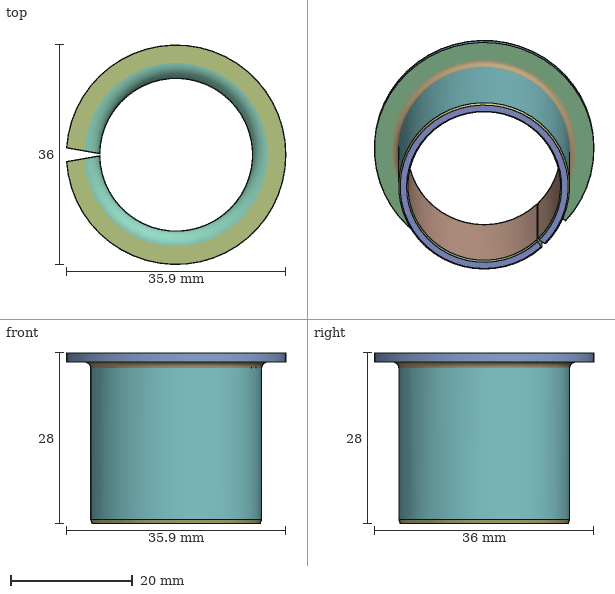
import cadquery as cq
import math

flange_diameter = 35.98
bore_diameter = 25.0
height = 28.0
wall = 1.5
outer_bend_radius = 1.0
lead_in_height = 0.65
lead_in_width = 0.25
bore_chamfer_height = 0.58
bore_chamfer_width = 0.2
gap_at_bore = 0.32
gap_half_angle = 10.0

flange_radius = flange_diameter / 2
bore_radius = bore_diameter / 2
barrel_radius = bore_radius + wall
inner_bend_radius = outer_bend_radius + wall
bend_center_radius = barrel_radius + outer_bend_radius
bend_center_z = height - inner_bend_radius
diagonal = math.sqrt(0.5)


def bend_midpoint(radius):
    """Point halfway along a quarter bend, which faces inward and up."""
    return (bend_center_radius - radius * diagonal, bend_center_z + radius * diagonal)


def make_bushing():
    """Revolve the wall section, standing on Z = 0, with its seam on the -X side."""
    return (
        cq.Workplane("XZ")
        .moveTo(bore_radius + bore_chamfer_width, 0)
        .lineTo(barrel_radius - lead_in_width, 0)
        .lineTo(barrel_radius, lead_in_height)
        .lineTo(barrel_radius, bend_center_z)
        .threePointArc(bend_midpoint(outer_bend_radius), (bend_center_radius, height - wall))
        .lineTo(flange_radius, height - wall)
        .lineTo(flange_radius, height)
        .lineTo(bend_center_radius, height)
        .threePointArc(bend_midpoint(inner_bend_radius), (bore_radius, bend_center_z))
        .lineTo(bore_radius, bore_chamfer_height)
        .close()
        .revolve(360, (0, 0, 0), (0, 1, 0))
        .rotate((0, 0, 0), (0, 0, 1), 180)
    )


def make_slit():
    """Full-height wedge on the -X side, widening outward from inside the bore."""
    flare = math.tan(math.radians(gap_half_angle))
    tip_x = -bore_radius + gap_at_bore / 2 / flare
    outer_x = -flange_radius - wall
    outer_half_width = (tip_x - outer_x) * flare
    return (
        cq.Workplane("XY")
        .polyline([(tip_x, 0), (outer_x, outer_half_width), (outer_x, -outer_half_width)])
        .close()
        .extrude(height)
    )


result = make_bushing().cut(make_slit())